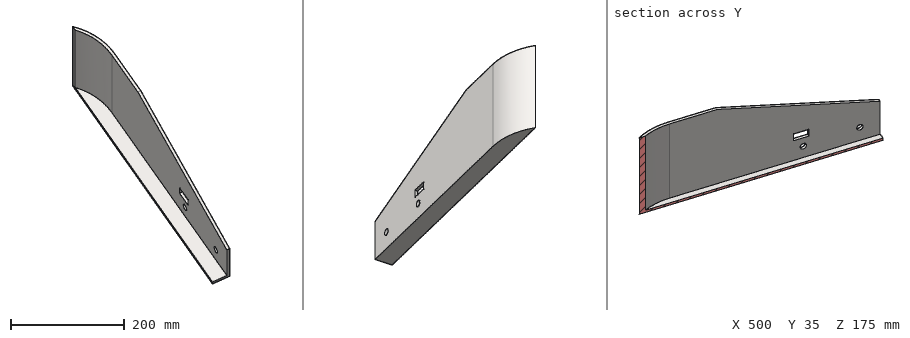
import cadquery as cq
import math

length = 500.0
depth = 35.0
height = 175.0
thickness = 6.0

curve_length = 88.5
outer_radius = (curve_length**2 + depth**2) / (2 * depth)
inner_radius = outer_radius - thickness
curve_center_y = depth - outer_radius

slope_start_x = 182.0
tail_height = 81.0

hole_diameter = 12.0
hole_centers = [(350.0, 31.5), (460.5, 35.5)]
slot_length = 30.0
slot_height = 15.0
slot_center = (346.0, 58.5)


def arc_point(radius, angle):
    """Point on the leading curve, at an angle back from its tangent point."""
    return (
        curve_length - radius * math.sin(angle),
        curve_center_y + radius * math.cos(angle),
    )


def make_wall():
    """Flat wall with its curved leading end, cut off at the front plane."""
    outer_sweep = math.acos(-curve_center_y / outer_radius)
    inner_sweep = math.acos(-curve_center_y / inner_radius)
    inner_y = depth - thickness
    return (
        cq.Workplane("XY")
        .moveTo(0, 0)
        .threePointArc(arc_point(outer_radius, outer_sweep / 2), (curve_length, depth))
        .lineTo(length, depth)
        .lineTo(length, inner_y)
        .lineTo(curve_length, inner_y)
        .threePointArc(arc_point(inner_radius, inner_sweep / 2), arc_point(inner_radius, inner_sweep))
        .close()
        .extrude(height)
    )


def make_flange():
    """Bottom flange filling the area between the wall and the front plane."""
    outer_sweep = math.acos(-curve_center_y / outer_radius)
    return (
        cq.Workplane("XY")
        .moveTo(0, 0)
        .threePointArc(arc_point(outer_radius, outer_sweep / 2), (curve_length, depth))
        .lineTo(length, depth)
        .lineTo(length, 0)
        .close()
        .extrude(thickness)
    )


def make_slope_cutter():
    """Wedge above the top edge that falls toward the tail."""
    return (
        cq.Workplane("XZ", origin=(0, depth, 0))
        .polyline([(slope_start_x, height), (length, tail_height), (length, height)])
        .close()
        .extrude(depth)
    )


def make_openings():
    """Round holes and rectangular slot, running through the wall along Y."""
    wall_plane = cq.Workplane("XZ", origin=(0, depth, 0))
    holes = wall_plane.pushPoints(hole_centers).circle(hole_diameter / 2).extrude(thickness)
    slot = wall_plane.center(*slot_center).rect(slot_length, slot_height).extrude(thickness)
    return holes.union(slot)


result = make_wall().union(make_flange()).cut(make_slope_cutter()).cut(make_openings())